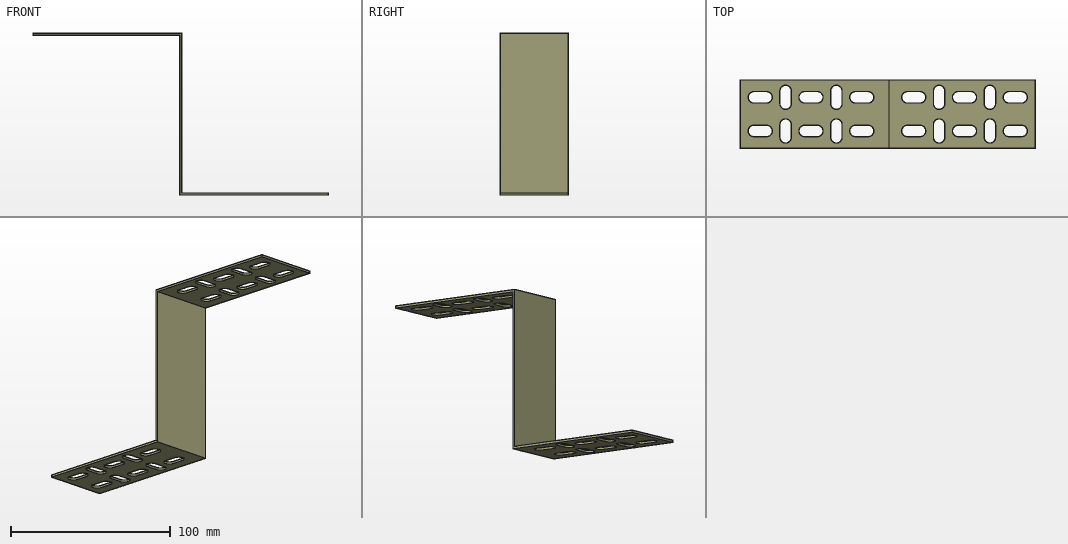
import cadquery as cq

length = 185.0
width = 43.0
height = 101.5
thickness = 1.5

slot_length = 15.0
slot_width = 7.0
slot_pitch = 16.0
row_spacing = 21.0
slots_per_row = 5
end_distance = 12.5

flange_length = (length + thickness) / 2


def plate(size_x, size_z, x, z):
    """Full-width plate with its lowest X and Z corner at (x, z)."""
    return cq.Workplane("XY").box(size_x, width, size_z, centered=(False, True, False)).translate((x, 0, z))


def flange_slots(end_x, direction, bottom_z):
    """Slot cutters starting at a free end and stepping towards the web."""
    first_x = end_x + direction * end_distance
    cutters = cq.Workplane("XY").workplane(offset=bottom_z)
    for row_y in (-row_spacing / 2, row_spacing / 2):
        for index in range(slots_per_row):
            angle = 90 * (index % 2)
            slot_x = first_x + direction * index * slot_pitch
            slot = (
                cq.Workplane("XY", origin=(slot_x, row_y, bottom_z))
                .slot2D(slot_length, slot_width, angle)
                .extrude(thickness)
            )
            cutters = cutters.add(slot)
    return cutters.combine()


left_end = -length / 2
right_end = length / 2
top_flange_z = height - thickness

upper_flange = plate(flange_length, thickness, left_end, top_flange_z)
web = plate(thickness, height, -thickness / 2, 0)
lower_flange = plate(flange_length, thickness, -thickness / 2, 0)

result = (
    web.union(upper_flange)
    .union(lower_flange)
    .cut(flange_slots(left_end, 1, top_flange_z))
    .cut(flange_slots(right_end, -1, 0))
)